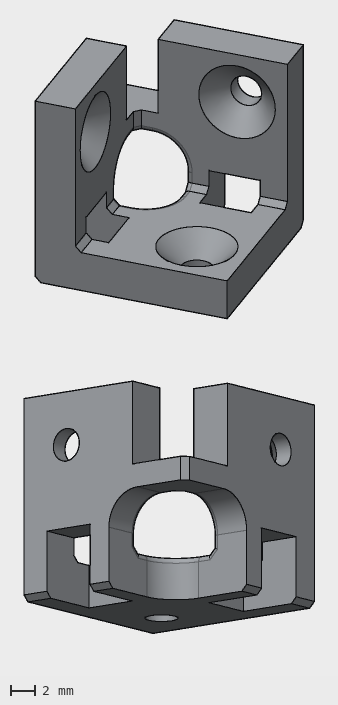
import cadquery as cq

size = 16.9
wall = 3.55
edge_bevel = 0.5

opening = 8.01
opening_radius = 2.99
rim_radius = 0.5
rim_margin = 0.08

notch_start = 9.99
notch_end = 14.5
notch_clearance = 1.98
notch_reach = wall + notch_clearance

hole_center = 12.47
hole_diameter = 2.7
sink_diameter = 6.73
sink_depth = (sink_diameter - hole_diameter) / 2


def on_each_axis(shape):
    """Return the shape and its copies turned so that Z takes the place of X, then Y."""
    return [shape.rotate((0, 0, 0), (1, 1, 1), 120 * turn) for turn in range(3)]


def fuse_all(shapes):
    total = shapes[0]
    for shape in shapes[1:]:
        total = total.union(shape)
    return total


def block(length_x, length_y, length_z):
    return cq.Workplane("XY").box(length_x, length_y, length_z, centered=False)


def make_corner():
    """Solid cube hollowed to three plates, with bevelled outer edges and inner webs."""
    cube = block(size, size, size).edges("(<X and <Y) or (<Y and <Z) or (<X and <Z)").chamfer(edge_bevel)
    corner = cube.cut(block(size, size, size).translate((wall, wall, wall)))
    web = (
        cq.Workplane("XY", origin=(wall, wall, wall))
        .polyline([(0, 0), (edge_bevel, 0), (0, edge_bevel)])
        .close()
        .extrude(size - wall)
    )
    return fuse_all([corner] + on_each_axis(web))


def make_opening():
    """Rounded square window through each plate at the shared corner."""
    core = block(opening, opening, wall + edge_bevel).edges("|Z and >X and >Y").fillet(opening_radius)
    return fuse_all(on_each_axis(core))


def round_opening_rim(body):
    """Fillet the continuous inner rim where the opening meets the plates and webs."""
    low = wall - rim_margin
    high = opening + rim_margin
    rim = cq.selectors.BoxSelector((low, low, low), (high, high, high), boundingbox=True)
    return body.edges(rim).fillet(rim_radius)


def make_notch(end):
    """Box along the vertical outer edge, reaching past both plates."""
    return block(notch_reach, notch_reach, end - notch_start).translate((0, 0, notch_start))


def make_screw_hole():
    """Through hole in the floor plate, countersunk from the inner face."""
    shank = cq.Workplane("XY").center(hole_center, hole_center).circle(hole_diameter / 2).extrude(wall)
    sink_tip = cq.Vector(hole_center, hole_center, wall - sink_depth)
    sink = cq.Solid.makeCone(hole_diameter / 2, sink_diameter / 2, sink_depth, pnt=sink_tip)
    return shank.union(cq.Workplane(sink))


body = round_opening_rim(make_corner().cut(make_opening()))
notches = on_each_axis(make_notch(notch_end)) + [make_notch(size)]
for cutter in notches + on_each_axis(make_screw_hole()):
    body = body.cut(cutter)

result = body.mirror("XZ")